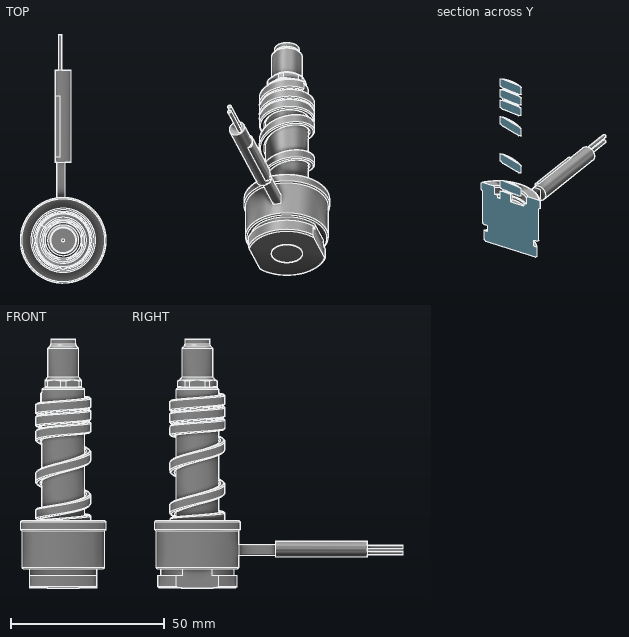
import cadquery as cq
import math

OVERALL_HEIGHT = 81.2
PAD_TOP = 0.2
FOOT_TOP = 4.3
HOUSING_BOTTOM = 6.35
FLANGE_BOTTOM = 18.75
FLANGE_TOP = 22.2
SLEEVE_TOP = 65.35
NUT_BOTTOM = 65.7
NUT_TOP = 68.0
NUT_CONE_TOP = 68.9
STEM_SHOULDER = 78.25
SHOULDER_TOP = 79.0
TIP_BOTTOM = 79.7

PAD_RADIUS = 5.1
FOOT_RADIUS = 13.0
NECK_RADIUS = 12.0
HOUSING_RADIUS = 13.5
FLANGE_RADIUS = 14.0
SLEEVE_RADIUS = 7.0
NUT_NECK_RADIUS = 5.25
STEM_RADIUS = 5.05
SHOULDER_RADIUS = 4.3
TIP_RADIUS = 4.05
EDGE_BREAK = 0.5
WRENCH_FLAT_HALF_WIDTH = 11.0

NUT_ACROSS_FLATS = 12.0
NUT_CORNER_RADIUS = 6.5
NUT_CONE_RADIUS = 5.8
NUT_CONE_ANGLE = 30.0

RECESS_RADIUS = 10.0
RECESS_DEPTH = 3.0
BORE_RADIUS = 9.45
BORE_DEPTH = 4.0
TIP_HOLE_RADIUS = 0.5
TIP_HOLE_DEPTH = 1.0

SPRING_RADIUS = 9.0
STRAND_HEIGHT = 3.5
STRAND_EDGE_BREAK = 0.4
STRAND_INNER_BREAK = 0.53
STRAND_EMBED = 0.4
CLOSED_PITCH = 4.0
OPEN_PITCH = 14.0
OPENING_ANGLE = 180.0
OPENING_HEIGHT = 24.25
RAMP_SWEEP = 156.0
OPEN_SWEEP = 501.0
SPRING_START_ANGLE = -270.0
FULL_TURNS = 5
SPRING_END_ANGLE = FULL_TURNS * 360.0 + 145.0
PATH_STEPS = 120

CABLE_X = -0.75
CABLE_Z = 12.55
CABLE_WIDTH = 2.8
CABLE_HEIGHT = 3.7
CABLE_CORNER_RADIUS = 0.55
CABLE_START_Y = 12.0
FERRULE_Z = 12.82
FERRULE_RADIUS = 2.6
FERRULE_START_Y = 25.4
FERRULE_END_Y = 55.4
RIB_START_Y = 27.2
RIB_END_Y = 47.0
RIB_OUTER_X = -2.65
RIB_HEIGHT = 4.7
RIB_CORNER_RADIUS = 1.0
WIRE_RADIUS = 0.6
WIRE_X = -1.0
WIRE_SPACING = 1.97
WIRE_END_Y = 67.0


def disc(radius, bottom, top):
    """Cylinder on the vertical axis between two heights."""
    return cq.Workplane("XY").workplane(offset=bottom).circle(radius).extrude(top - bottom)


def along_y(start_y):
    """Workplane facing +Y: local x runs along -X and local y along Z."""
    return cq.Workplane("XZ", origin=(0, start_y, 0)).transformed(rotate=(0, 180, 0))


def make_foot():
    foot = disc(FOOT_RADIUS, PAD_TOP, FOOT_TOP).faces("<Z").chamfer(EDGE_BREAK)
    foot = foot.union(disc(NECK_RADIUS, FOOT_TOP, HOUSING_BOTTOM))
    flats = cq.Workplane("XY").box(
        2 * WRENCH_FLAT_HALF_WIDTH, 2 * FOOT_RADIUS, HOUSING_BOTTOM, centered=(True, True, False)
    )
    return foot.intersect(flats).union(disc(PAD_RADIUS, 0, PAD_TOP))


def make_housing():
    """Flanged housing, open at the top with a chamfered recess and a slightly narrower bore below it."""
    housing = disc(HOUSING_RADIUS, HOUSING_BOTTOM, FLANGE_BOTTOM).faces("<Z").chamfer(EDGE_BREAK)
    flange = disc(FLANGE_RADIUS, FLANGE_BOTTOM, FLANGE_TOP).faces("<Z or >Z").chamfer(EDGE_BREAK)
    mouth = (
        cq.Workplane("XZ")
        .moveTo(0, FLANGE_TOP)
        .lineTo(RECESS_RADIUS + EDGE_BREAK, FLANGE_TOP)
        .lineTo(RECESS_RADIUS, FLANGE_TOP - EDGE_BREAK)
        .lineTo(RECESS_RADIUS, FLANGE_TOP - RECESS_DEPTH)
        .lineTo(BORE_RADIUS, FLANGE_TOP - RECESS_DEPTH)
        .lineTo(BORE_RADIUS, FLANGE_TOP - BORE_DEPTH)
        .lineTo(0, FLANGE_TOP - BORE_DEPTH)
        .close()
        .revolve(360, (0, 0, 0), (0, 1, 0))
    )
    return housing.union(flange).cut(mouth)


def make_sleeve():
    return disc(SLEEVE_RADIUS, HOUSING_BOTTOM, SLEEVE_TOP).faces(">Z").chamfer(EDGE_BREAK)


def make_nut():
    hexagon = (
        cq.Workplane("XY")
        .workplane(offset=NUT_BOTTOM)
        .polygon(6, NUT_ACROSS_FLATS, circumscribed=True)
        .extrude(NUT_TOP - NUT_BOTTOM)
    )
    corner_drop = (NUT_CORNER_RADIUS - NUT_CONE_RADIUS) * math.tan(math.radians(NUT_CONE_ANGLE))
    envelope = (
        cq.Workplane("XZ")
        .moveTo(0, NUT_BOTTOM)
        .lineTo(NUT_CORNER_RADIUS, NUT_BOTTOM)
        .lineTo(NUT_CORNER_RADIUS, NUT_TOP - corner_drop)
        .lineTo(NUT_CONE_RADIUS, NUT_TOP)
        .lineTo(0, NUT_TOP)
        .close()
        .revolve(360, (0, 0, 0), (0, 1, 0))
    )
    return hexagon.intersect(envelope)


def make_stem():
    """Neck below the nut, stem with a flared root, and the stepped tip with its centre hole."""
    stem = (
        cq.Workplane("XZ")
        .moveTo(0, NUT_TOP)
        .lineTo(NUT_CONE_RADIUS, NUT_TOP)
        .lineTo(STEM_RADIUS, NUT_CONE_TOP)
        .lineTo(STEM_RADIUS, STEM_SHOULDER)
        .lineTo(SHOULDER_RADIUS, SHOULDER_TOP)
        .lineTo(TIP_RADIUS, TIP_BOTTOM)
        .lineTo(TIP_RADIUS, OVERALL_HEIGHT)
        .lineTo(0, OVERALL_HEIGHT)
        .close()
        .revolve(360, (0, 0, 0), (0, 1, 0))
    )
    neck = disc(NUT_NECK_RADIUS, SLEEVE_TOP, NUT_BOTTOM)
    tip_hole = disc(TIP_HOLE_RADIUS, OVERALL_HEIGHT - TIP_HOLE_DEPTH, OVERALL_HEIGHT)
    return stem.union(neck).union(make_nut()).cut(tip_hole)


def ramp_rise(angle):
    """Extra rise over a closed coil while the pitch grows evenly to the open pitch."""
    return (OPEN_PITCH - CLOSED_PITCH) * angle**2 / (2 * RAMP_SWEEP * 360)


def strand_height(angle):
    """Height of the strand centre at a winding angle in degrees."""
    past_opening = angle - OPENING_ANGLE
    height = OPENING_HEIGHT + CLOSED_PITCH * past_opening / 360
    opening = min(max(past_opening, 0), RAMP_SWEEP)
    open_part = min(max(past_opening - RAMP_SWEEP, 0), OPEN_SWEEP)
    closing = min(max(past_opening - RAMP_SWEEP - OPEN_SWEEP, 0), RAMP_SWEEP)
    height += ramp_rise(opening)
    height += (OPEN_PITCH - CLOSED_PITCH) * open_part / 360
    height += ramp_rise(RAMP_SWEEP) - ramp_rise(RAMP_SWEEP - closing)
    return height


def strand_edge(radius, rise):
    """Long edge of the strand at a radius, raised by a fixed amount above the strand centre."""
    fractions = [i / PATH_STEPS for i in range(PATH_STEPS + 1)]
    points = []
    for fraction in fractions:
        angle = SPRING_START_ANGLE + fraction * (SPRING_END_ANGLE - SPRING_START_ANGLE)
        turn = math.radians(angle)
        height = strand_height(angle) + rise
        points.append(cq.Vector(radius * math.cos(turn), radius * math.sin(turn), height))
    return cq.Edge.makeSpline(points, parameters=fractions)


def make_spring():
    """Strand whose section has its corners cut at 45 degrees, closed by ruled faces and capped at both ends."""
    embedded_radius = SLEEVE_RADIUS - STRAND_EMBED
    inner_bevel_radius = SLEEVE_RADIUS + STRAND_INNER_BREAK
    bevel_radius = SPRING_RADIUS - STRAND_EDGE_BREAK
    half_height = STRAND_HEIGHT / 2
    inner_height = half_height - (inner_bevel_radius - embedded_radius)
    bevel_height = half_height - STRAND_EDGE_BREAK
    section = [
        (embedded_radius, inner_height),
        (inner_bevel_radius, half_height),
        (bevel_radius, half_height),
        (SPRING_RADIUS, bevel_height),
        (SPRING_RADIUS, -bevel_height),
        (bevel_radius, -half_height),
        (inner_bevel_radius, -half_height),
        (embedded_radius, -inner_height),
    ]
    edges = [strand_edge(radius, rise) for radius, rise in section]
    faces = [cq.Face.makeRuledSurface(edges[i - 1], edges[i]) for i in range(len(edges))]
    bottom_corners = [edge.startPoint() for edge in edges]
    top_corners = [edge.endPoint() for edge in edges]
    for corners in (bottom_corners, top_corners):
        faces.append(cq.Face.makeFromWires(cq.Wire.makePolygon(corners, close=True)))
    return cq.Workplane(cq.Solid.makeSolid(cq.Shell.makeShell(faces)))


def make_cable():
    """Flat cable, ferrule with a side rib, and two wires."""
    cable = (
        along_y(CABLE_START_Y)
        .center(-CABLE_X, CABLE_Z)
        .rect(CABLE_WIDTH, CABLE_HEIGHT)
        .extrude(FERRULE_START_Y - CABLE_START_Y)
        .edges("|Y")
        .fillet(CABLE_CORNER_RADIUS)
    )
    ferrule = (
        along_y(FERRULE_START_Y)
        .center(0, FERRULE_Z)
        .circle(FERRULE_RADIUS)
        .extrude(FERRULE_END_Y - FERRULE_START_Y)
    )
    rib_width = -RIB_OUTER_X
    rib = (
        along_y(RIB_START_Y)
        .center(rib_width / 2, FERRULE_Z)
        .rect(rib_width, RIB_HEIGHT)
        .extrude(RIB_END_Y - RIB_START_Y)
        .edges("|Y and <X")
        .fillet(RIB_CORNER_RADIUS)
    )
    wires = (
        along_y(FERRULE_END_Y)
        .center(-WIRE_X, CABLE_Z)
        .rarray(1, WIRE_SPACING, 1, 2)
        .circle(WIRE_RADIUS)
        .extrude(WIRE_END_Y - FERRULE_END_Y)
    )
    return cable.union(ferrule).union(rib).union(wires)


result = make_foot().union(make_housing()).union(make_sleeve()).union(make_stem())
result = result.union(make_cable()).union(make_spring())